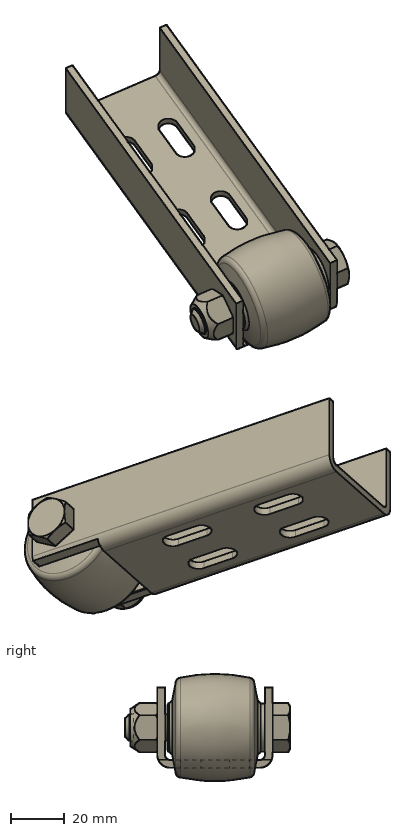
import cadquery as cq
import math

channel_length = 130.0
channel_width = 43.0
channel_height = 30.0
sheet = 3.0
bend_inner = 2.0
bend_outer = bend_inner + sheet
floor_length = 101.8
notch_height = sheet

slot_length = 20.0
slot_width = 7.5
slot_x_positions = (30.0, 70.0)
slot_spacing_y = 18.0

overall_length = 140.0
crown_radius = 20.0
axle_x = overall_length - crown_radius
axle_z = channel_height / 2
tread_edge_radius = 18.6
tread_half_width = 12.9
face_radius = 16.5
face_half_width = 14.7
shoulder_bulge = 0.49

hub_radius = 18.0 / 2
hub_root_radius = 10.1
hub_root_y = 16.0
hub_neck_y = 17.1
hub_free_end_y = 17.8
hub_chamfer_radial = 0.8
hub_chamfer_axial = 0.4

bolt_radius = 10.0 / 2
bolt_tip_y = 33.5
bolt_tip_chamfer = 1.5
across_flats = 16.0
head_height = 6.5
hex_chamfer_angle = 30
nut_cylinder_height = 6.6
nut_height = 10.1
nut_top_radius = 6.9
nut_base_chamfer = 0.4
nut_recess_radius = 10.5 / 2
nut_recess_depth = 1.1

wall_outer_y = channel_width / 2
wall_inner_y = wall_outer_y - sheet
corner_radius = across_flats / math.sqrt(3)


def bulged_midpoint(start, end, bulge):
    """Point off the middle of a chord, to its right when going from start to end."""
    dx = end[0] - start[0]
    dy = end[1] - start[1]
    chord = math.hypot(dx, dy)
    return (
        (start[0] + end[0]) / 2 + bulge * dy / chord,
        (start[1] + end[1]) / 2 - bulge * dx / chord,
    )


def revolve_about_axle(profile):
    """Revolve a closed (radius, y) profile about the Y axis and move it onto the axle."""
    return profile.revolve(360, (0, 0, 0), (0, 1, 0)).translate((axle_x, 0, axle_z))


def axle_cylinder(radius, y_start, y_end):
    profile = cq.Workplane("XY").moveTo(0, y_start).lineTo(radius, y_start)
    return revolve_about_axle(profile.lineTo(radius, y_end).lineTo(0, y_end).close())


def hexagon(y_start, y_end):
    """Hexagonal prism along the axle, with two corners pointing up and down."""
    return (
        cq.Workplane("XZ", origin=(axle_x, y_start, axle_z))
        .transformed(rotate=(0, 0, 90))
        .polygon(6, 2 * corner_radius)
        .extrude(y_start - y_end)
    )


def make_channel():
    outer = (
        cq.Workplane("XY")
        .box(channel_length, channel_width, channel_height, centered=(False, True, False))
        .edges("|X and <Z")
        .fillet(bend_outer)
    )
    inner = (
        cq.Workplane("XY", origin=(0, 0, sheet))
        .box(channel_length, 2 * wall_inner_y, channel_height, centered=(False, True, False))
        .edges("|X and <Z")
        .fillet(bend_inner)
    )
    floor_notch = cq.Workplane("XY", origin=(floor_length, 0, 0)).box(
        channel_length - floor_length, channel_width, notch_height, centered=(False, True, False)
    )
    slot_centers = [(x, side * slot_spacing_y / 2) for x in slot_x_positions for side in (-1, 1)]
    slots = cq.Workplane("XY").pushPoints(slot_centers).slot2D(slot_length, slot_width).extrude(sheet)
    return outer.cut(inner).cut(floor_notch).cut(slots)


def make_roller():
    """Crowned roller; its hub rests on the +Y wall and stops short of the -Y wall."""
    tread_edge = (tread_edge_radius, tread_half_width)
    face_edge = (face_radius, face_half_width)
    shoulder_x, shoulder_y = bulged_midpoint(tread_edge, face_edge, shoulder_bulge)
    profile = (
        cq.Workplane("XY")
        .moveTo(0, -hub_free_end_y)
        .lineTo(hub_radius - hub_chamfer_radial, -hub_free_end_y)
        .lineTo(hub_radius, -hub_free_end_y + hub_chamfer_axial)
        .lineTo(hub_radius, -hub_neck_y)
        .lineTo(hub_root_radius, -hub_root_y)
        .lineTo(face_radius, -face_half_width)
        .threePointArc((shoulder_x, -shoulder_y), (tread_edge_radius, -tread_half_width))
        .threePointArc((crown_radius, 0), tread_edge)
        .threePointArc((shoulder_x, shoulder_y), face_edge)
        .lineTo(hub_root_radius, hub_root_y)
        .lineTo(hub_radius, hub_neck_y)
        .lineTo(hub_radius, wall_inner_y)
        .lineTo(0, wall_inner_y)
        .close()
    )
    return revolve_about_axle(profile)


def make_bolt():
    """Hexagon bolt with its head on the +Y wall and its tip toward -Y."""
    head_top = wall_outer_y + head_height
    flat_radius = across_flats / 2
    corner_drop = (corner_radius - flat_radius) * math.tan(math.radians(hex_chamfer_angle))
    head_envelope = (
        cq.Workplane("XY")
        .moveTo(0, wall_outer_y)
        .lineTo(corner_radius, wall_outer_y)
        .lineTo(corner_radius, head_top - corner_drop)
        .lineTo(flat_radius, head_top)
        .lineTo(0, head_top)
        .close()
    )
    head = hexagon(wall_outer_y, head_top).intersect(revolve_about_axle(head_envelope))
    shank = axle_cylinder(bolt_radius, -bolt_tip_y, wall_outer_y).faces("<Y").chamfer(bolt_tip_chamfer)
    return head.union(shank)


def make_nut():
    """Hexagon lock nut on the -Y wall, coned at its outer end and recessed around the bolt."""
    nut_top = -wall_outer_y - nut_height
    envelope = (
        cq.Workplane("XY")
        .moveTo(0, nut_top)
        .lineTo(nut_top_radius, nut_top)
        .lineTo(corner_radius, -wall_outer_y - nut_cylinder_height)
        .lineTo(corner_radius, -wall_outer_y - nut_base_chamfer)
        .lineTo(corner_radius - nut_base_chamfer, -wall_outer_y)
        .lineTo(0, -wall_outer_y)
        .close()
    )
    nut = hexagon(-wall_outer_y, nut_top).intersect(revolve_about_axle(envelope))
    return nut.cut(axle_cylinder(nut_recess_radius, nut_top, nut_top + nut_recess_depth))


result = make_channel().union(make_roller()).union(make_nut()).union(make_bolt())